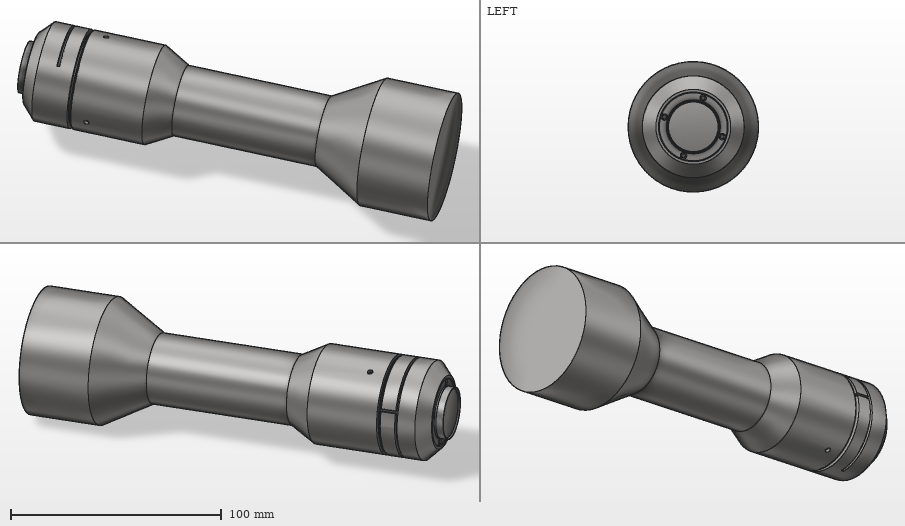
import cadquery as cq
import math

LENGTH = 206.5
COLLAR_FACE = 4.0
SHOULDER_END = 10.1
GROOVE_START = 27.5
GROOVE_END = 29.3
FIN_START = 28.5
FIN_WIDTH = 0.2
BARREL_END = 64.2
TUBE_START = 77.0
TUBE_END = 147.5
HEAD_START = 171.8

HEAD_RADIUS = 31.0
BARREL_RADIUS = 24.2
TUBE_RADIUS = 17.1
SLEEVE_RADIUS = 21.9
FIN_RADIUS = 23.3
FACE_RADIUS = 17.8

MOUNT_RADIUS = 12.5
FLANGE_START = 3.5
FLANGE_RADIUS = 12.8
LENS_RADIUS = 11.8
RIM_RADIUS = 12.2
LENS_RECESS = 0.8
LENS_SAG = 0.6

RING_RADIUS = 16.1
RECESS_MOUTH_RADIUS = 16.5
RING_FACE = COLLAR_FACE + 0.5
SCREW_COUNT = 4
SCREW_CIRCLE_RADIUS = 14.5
SCREW_HEAD_DIAMETER = 3.0
SCREW_HEAD_DEPTH = 0.6
SCREW_HOLE_DIAMETER = 1.9
SCREW_HOLE_DEPTH = 2.0

COLLAR_TURN = 18.7

SLIT_X = 19.6
SLIT_WIDTH = 1.2
SLIT_HALF_ANGLE = 100.0
SLIT_FLOOR_RADIUS = 22.0

SET_SCREW_COUNT = 3
SET_SCREW_X = 37.0
SET_SCREW_DIAMETER = 2.5
SET_SCREW_DEPTH = 2.0
SET_SCREW_TURN = 1.7

CLEARANCE = 2.0


def around_axis(shape, angle):
    """Turn a shape about the X axis; positive angles go from +Y to +Z."""
    return shape.rotate((0, 0, 0), (1, 0, 0), angle)


def revolve_about_x(profile):
    """Revolve a closed (x, radius) profile a full turn about the X axis."""
    return profile.revolve(360, (0, 0, 0), (1, 0, 0))


def tube_between(start, end, inner, outer):
    """Tube along X from start to end."""
    plane = cq.Workplane("YZ", origin=(start, 0, 0))
    return plane.circle(outer).circle(inner).extrude(end - start)


def make_body():
    """Turned body with the domed lens at its front end (-X)."""
    lens_apex = LENS_RECESS - LENS_SAG
    sphere_radius = (LENS_RADIUS**2 + LENS_SAG**2) / (2 * LENS_SAG)
    half_arc = math.asin(LENS_RADIUS / sphere_radius) / 2
    arc_middle = (
        lens_apex + sphere_radius * (1 - math.cos(half_arc)),
        sphere_radius * math.sin(half_arc),
    )
    profile = (
        cq.Workplane("XY")
        .moveTo(lens_apex, 0)
        .threePointArc(arc_middle, (LENS_RECESS, LENS_RADIUS))
        .lineTo(0, RIM_RADIUS)
        .lineTo(0, MOUNT_RADIUS)
        .lineTo(FLANGE_START, MOUNT_RADIUS)
        .lineTo(FLANGE_START, FLANGE_RADIUS)
        .lineTo(RING_FACE, FLANGE_RADIUS)
        .lineTo(RING_FACE, RING_RADIUS)
        .lineTo(COLLAR_FACE, RECESS_MOUTH_RADIUS)
        .lineTo(COLLAR_FACE, FACE_RADIUS)
        .lineTo(SHOULDER_END, BARREL_RADIUS)
        .lineTo(GROOVE_START, BARREL_RADIUS)
        .lineTo(GROOVE_START, SLEEVE_RADIUS)
        .lineTo(FIN_START, SLEEVE_RADIUS)
        .lineTo(FIN_START, FIN_RADIUS)
        .lineTo(FIN_START + FIN_WIDTH, FIN_RADIUS)
        .lineTo(FIN_START + FIN_WIDTH, SLEEVE_RADIUS)
        .lineTo(GROOVE_END, SLEEVE_RADIUS)
        .lineTo(GROOVE_END, BARREL_RADIUS)
        .lineTo(BARREL_END, BARREL_RADIUS)
        .lineTo(TUBE_START, TUBE_RADIUS)
        .lineTo(TUBE_END, TUBE_RADIUS)
        .lineTo(HEAD_START, HEAD_RADIUS)
        .lineTo(LENGTH, HEAD_RADIUS)
        .lineTo(LENGTH, 0)
        .close()
    )
    return revolve_about_x(profile)


def make_retaining_screw_holes():
    """Counterbored screw holes in the face of the retaining ring."""
    face = cq.Workplane("YZ", origin=(RING_FACE, 0, 0)).polarArray(
        SCREW_CIRCLE_RADIUS, COLLAR_TURN, 360, SCREW_COUNT
    )
    heads = face.circle(SCREW_HEAD_DIAMETER / 2).extrude(SCREW_HEAD_DEPTH)
    holes = face.circle(SCREW_HOLE_DIAMETER / 2).extrude(SCREW_HOLE_DEPTH)
    return heads.union(holes)


def make_clamp_slit():
    """T-shaped slit in the collar, opening into the groove behind it."""
    outer = BARREL_RADIUS + CLEARANCE
    arc_start = SLIT_X - SLIT_WIDTH / 2
    closed_half_angle = math.radians(180 - SLIT_HALF_ANGLE)
    reach = 2 * outer
    corner_y = -reach * math.cos(closed_half_angle)
    corner_z = reach * math.sin(closed_half_angle)
    closed_side = (
        cq.Workplane("YZ", origin=(arc_start, 0, 0))
        .polyline([(0, 0), (corner_y, corner_z), (-reach, 0), (corner_y, -corner_z)])
        .close()
        .extrude(SLIT_WIDTH)
    )
    arc_end = arc_start + SLIT_WIDTH
    arc = tube_between(arc_start, arc_end, SLIT_FLOOR_RADIUS, outer).cut(closed_side)
    along_end = (GROOVE_START + FIN_START) / 2
    along = cq.Workplane("XY", origin=(SLIT_X, 0, 0)).box(
        along_end - SLIT_X, outer, SLIT_WIDTH, centered=(False, False, True)
    )
    along = along.intersect(tube_between(SLIT_X, along_end, SLIT_FLOOR_RADIUS, outer))
    return around_axis(arc.union(along), COLLAR_TURN)


def make_set_screw_holes():
    """Blind radial holes spaced evenly around the barrel."""
    floor_radius = BARREL_RADIUS - SET_SCREW_DEPTH
    hole = (
        cq.Workplane("XZ", origin=(SET_SCREW_X, -floor_radius, 0))
        .circle(SET_SCREW_DIAMETER / 2)
        .extrude(SET_SCREW_DEPTH + CLEARANCE)
    )
    holes = cq.Workplane("XY")
    for index in range(SET_SCREW_COUNT):
        angle = index * 360 / SET_SCREW_COUNT + SET_SCREW_TURN
        holes = holes.add(around_axis(hole, angle))
    return holes.combine()


result = make_body()
result = result.cut(make_retaining_screw_holes())
result = result.cut(make_clamp_slit())
result = result.cut(make_set_screw_holes())